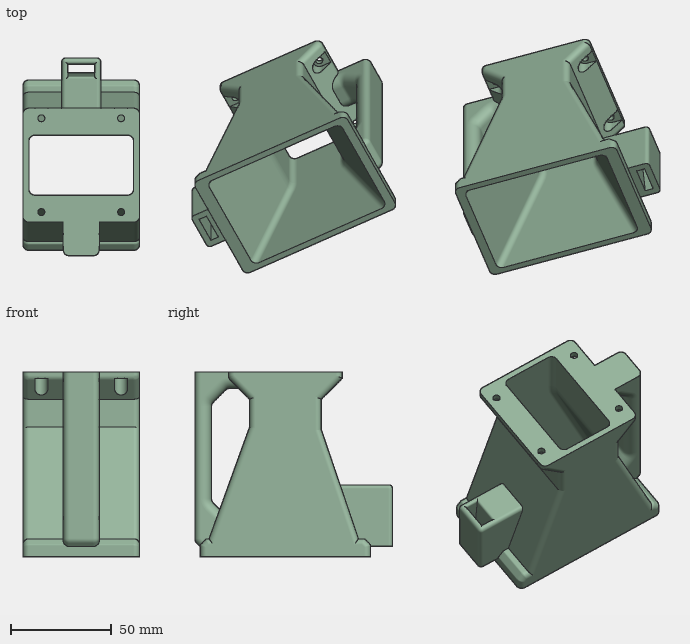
import cadquery as cq
import math

width = 58.0
height = 92.0
wall = 3.0
edge_round = 2.9

rim_half = 28.3
rim_thickness = 3.2
neck_half = 17.9
base_half = 42.4
ledge_z = 9.0
ledge_chamfer = 3.0
ledge_blend = 1.0
front_neck_z = 64.5
rear_neck_z = 63.2
throat_round = 19.7
front_ledge_y = 37.9
rear_ledge_y = 36.3

hole_diameter = 3.4
hole_spacing_x = 39.6
hole_spacing_y = 46.6
head_diameter = 6.6

handle_width = 17.9
handle_outer_y = -45.0
handle_inner_y = -36.7
handle_arm_z = 83.7
handle_arm_y = -29.0
handle_lower_z = 27.7
handle_bottom_z = 7.8
finger_corner = 2.9
grip_round = 5.1
foot_y = -39.3

bracket_width = 19.5
bracket_y = 53.3
bracket_bottom_z = 5.3
bracket_top_z = 35.9
bracket_round = 2.0
slot_width = 13.2
slot_outer_y = 50.1
slot_top_y = 43.8
slot_bottom_y = 46.0
slot_round = 1.1

buried_y = 19.7

throat_half = neck_half - wall
neck_top_z = height - rim_thickness - (rim_half - neck_half)


def extrude_x(points, length):
    """Prism along X, centred on X = 0, from (y, z) points."""
    return cq.Workplane("YZ").polyline(points).close().extrude(length / 2, both=True)


def flare_slope(neck_z, ledge_y):
    """Outward run per unit of drop of a flared wall."""
    return (ledge_y - neck_half) / (neck_z - ledge_z)


def half_outline(side, neck_z, ledge_y):
    """Outer duct outline on one Y side, from the top face down to the base."""
    return [
        (side * rim_half, height),
        (side * rim_half, height - rim_thickness),
        (side * neck_half, neck_top_z),
        (side * neck_half, neck_z),
        (side * ledge_y, ledge_z),
        (side * (base_half - ledge_chamfer), ledge_z),
        (side * base_half, ledge_z - ledge_chamfer),
        (side * base_half, 0),
    ]


def throat_end(neck_z, ledge_y):
    """Height of the inner corner that keeps the wall thickness equal above and below it."""
    flare_angle = math.atan(flare_slope(neck_z, ledge_y))
    return neck_z - wall * math.tan(flare_angle / 2)


def half_cavity(side, neck_z, ledge_y):
    """Inner duct outline on one Y side: straight throat, then parallel to the flared wall."""
    throat_end_z = throat_end(neck_z, ledge_y)
    bottom_y = throat_half + flare_slope(neck_z, ledge_y) * throat_end_z
    return [
        (side * throat_half, height),
        (side * throat_half, throat_end_z),
        (side * bottom_y, 0),
    ]


def closed_outline(half):
    """Join the front half to the rear half, in order around the section."""
    front = half(-1, front_neck_z, front_ledge_y)
    rear = half(1, rear_neck_z, rear_ledge_y)
    return front + rear[::-1]


def edges_along_x(y, z, size=0.2):
    """Selector for the X-direction edge passing through (y, z)."""
    return cq.selectors.BoxSelector((-width, y - size, z - size), (width, y + size, z + size))


def side_edges_within(low, high, margin=0.1):
    """Selector for edges whose centre lies between two (y, z) corners."""
    return cq.selectors.BoxSelector(
        (-width, low[0] - margin, low[1] - margin), (width, high[0] + margin, high[1] + margin)
    )


def round_side_outline(prism):
    """Round the outline of both X faces, leaving the top and bottom edges sharp."""
    outline = side_edges_within((-base_half, 1), (base_half, height - 1))
    return prism.faces("<X or >X").edges(outline).fillet(edge_round)


def make_duct():
    """Solid outer shape of the funnel, with the chamfered ledge around its base."""
    duct = extrude_x(closed_outline(half_outline), width)
    duct = round_side_outline(duct)
    duct = duct.edges(edges_along_x(-rim_half, height - rim_thickness)).fillet(edge_round)
    for side in (-1, 1):
        duct = duct.edges(edges_along_x(side * base_half, ledge_z - ledge_chamfer)).fillet(ledge_blend)
        duct = duct.edges(edges_along_x(side * (base_half - ledge_chamfer), ledge_z)).fillet(ledge_blend)
    return duct


def make_cavity():
    """Inner space of the funnel, open at the top and at the bottom."""
    cavity = extrude_x(closed_outline(half_cavity), width - 2 * wall)
    for y, z in (
        (-throat_half, throat_end(front_neck_z, front_ledge_y)),
        (throat_half, throat_end(rear_neck_z, rear_ledge_y)),
    ):
        cavity = cavity.edges(edges_along_x(y, z)).fillet(throat_round)
    return round_side_outline(cavity)


def make_handle():
    """C-shaped bar; both ends run on into the duct, where the cavity later trims them."""
    root_y = -buried_y
    lower_end_z = handle_lower_z - (root_y - handle_inner_y)
    foot_z = handle_bottom_z - (foot_y - handle_outer_y)
    outer_side = [
        (root_y, height),
        (handle_outer_y, height),
        (handle_outer_y, handle_bottom_z),
        (foot_y, foot_z),
        (root_y, foot_z),
    ]
    finger_side = [
        (root_y, lower_end_z),
        (handle_inner_y, handle_lower_z),
        (handle_inner_y, handle_arm_z - (handle_arm_y - handle_inner_y)),
        (handle_arm_y, handle_arm_z),
        (root_y, handle_arm_z),
    ]
    handle = extrude_x(outer_side + finger_side, handle_width)
    handle = handle.edges(edges_along_x(handle_outer_y, handle_bottom_z)).fillet(edge_round)
    for y, z in finger_side[1:4]:
        handle = handle.edges(edges_along_x(y, z)).fillet(finger_corner)
    outer_edges = side_edges_within((handle_outer_y, 0), (foot_y - 1, height - 1))
    handle = handle.faces("<X or >X").edges(outer_edges).fillet(edge_round)
    finger_edges = side_edges_within((handle_inner_y, lower_end_z), (root_y - 1, handle_arm_z))
    return handle.faces("<X or >X").edges(finger_edges).fillet(grip_round)


def make_bracket():
    """Rounded block with a tapered slot passing through it vertically."""
    bracket = extrude_x(
        [
            (bracket_y, bracket_bottom_z),
            (bracket_y, bracket_top_z),
            (buried_y, bracket_top_z),
            (buried_y, bracket_bottom_z),
        ],
        bracket_width,
    )
    bracket = bracket.faces(">Y").edges("|Z").fillet(bracket_round)
    bracket = bracket.faces(">Z").edges("not <Y").fillet(bracket_round)
    slot = extrude_x(
        [
            (slot_outer_y, bracket_bottom_z),
            (slot_outer_y, bracket_top_z),
            (slot_top_y, bracket_top_z),
            (slot_bottom_y, bracket_bottom_z),
        ],
        slot_width,
    )
    bracket = bracket.cut(slot)
    margin = 0.1
    mouth = cq.selectors.BoxSelector(
        (-slot_width / 2 - margin, slot_top_y - margin, bracket_top_z - margin),
        (slot_width / 2 + margin, slot_outer_y + margin, bracket_top_z + margin),
    )
    return bracket.edges(mouth).fillet(slot_round)


def make_screw_holes():
    """Through holes in the rim, each with a head recess below that is open to its Y side."""
    holes = cq.Workplane("XY")
    recess_top_z = height - rim_thickness
    for side in (-1, 1):
        for x in (-hole_spacing_x / 2, hole_spacing_x / 2):
            spot = cq.Workplane("XY", origin=(x, side * hole_spacing_y / 2, neck_top_z))
            shank = spot.circle(hole_diameter / 2).extrude(height - neck_top_z)
            head = spot.circle(head_diameter / 2).extrude(recess_top_z - neck_top_z)
            way_out = (
                spot.center(0, side * head_diameter)
                .rect(head_diameter, 2 * head_diameter)
                .extrude(recess_top_z - neck_top_z)
            )
            holes = holes.add(shank.union(head).union(way_out))
    return holes.combine()


outside = make_duct().union(make_handle()).union(make_bracket())
result = outside.cut(make_cavity()).cut(make_screw_holes())